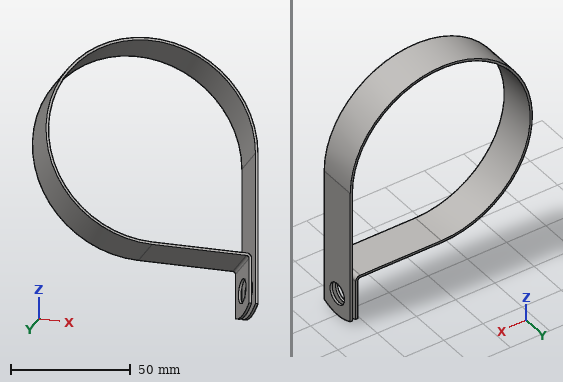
import cadquery as cq
import math

height = 116.3
loop_diameter = 92.9
strip_width = 19.1
thickness = 1.2
leg_gap = 1.6
bend_outer_radius = 2.3
hole_diameter = 10.5
hole_height = 11.0
tip_rise = 2.2

outer_radius = loop_diameter / 2
inner_radius = outer_radius - thickness
tip_z = outer_radius - height
short_leg_outer_x = inner_radius - leg_gap
short_leg_inner_x = short_leg_outer_x - thickness
bend_inner_radius = bend_outer_radius - thickness
bend_center_x = short_leg_outer_x - bend_outer_radius
bend_center_z = -inner_radius - bend_outer_radius
half_width = strip_width / 2
cos_45 = math.cos(math.pi / 4)


def make_strap():
    """P-shaped strip: three-quarter loop, long tangent leg and a bent short leg."""
    outline = (
        cq.Workplane("XZ")
        .moveTo(outer_radius, tip_z)
        .lineTo(outer_radius, 0)
        .threePointArc((-outer_radius * cos_45, outer_radius * cos_45), (0, -outer_radius))
        .lineTo(bend_center_x, -outer_radius)
        .threePointArc(
            (bend_center_x + bend_inner_radius * cos_45, bend_center_z + bend_inner_radius * cos_45),
            (short_leg_inner_x, bend_center_z),
        )
        .lineTo(short_leg_inner_x, tip_z)
        .lineTo(short_leg_outer_x, tip_z)
        .lineTo(short_leg_outer_x, bend_center_z)
        .threePointArc(
            (bend_center_x + bend_outer_radius * cos_45, bend_center_z + bend_outer_radius * cos_45),
            (bend_center_x, -inner_radius),
        )
        .lineTo(0, -inner_radius)
        .threePointArc((-inner_radius * cos_45, inner_radius * cos_45), (inner_radius, 0))
        .lineTo(inner_radius, tip_z)
        .close()
    )
    return outline.extrude(half_width, both=True)


def make_leg_envelope():
    """Side silhouette of the strap, with its lower end closed by a shallow arc."""
    return (
        cq.Workplane("YZ")
        .moveTo(-half_width, outer_radius)
        .lineTo(-half_width, tip_z + tip_rise)
        .threePointArc((0, tip_z), (half_width, tip_z + tip_rise))
        .lineTo(half_width, outer_radius)
        .close()
        .extrude(outer_radius, both=True)
    )


def make_bolt_hole():
    """Cylinder along X that pierces both legs."""
    return (
        cq.Workplane("YZ")
        .center(0, tip_z + hole_height)
        .circle(hole_diameter / 2)
        .extrude(outer_radius)
    )


result = make_strap().intersect(make_leg_envelope()).cut(make_bolt_hole())